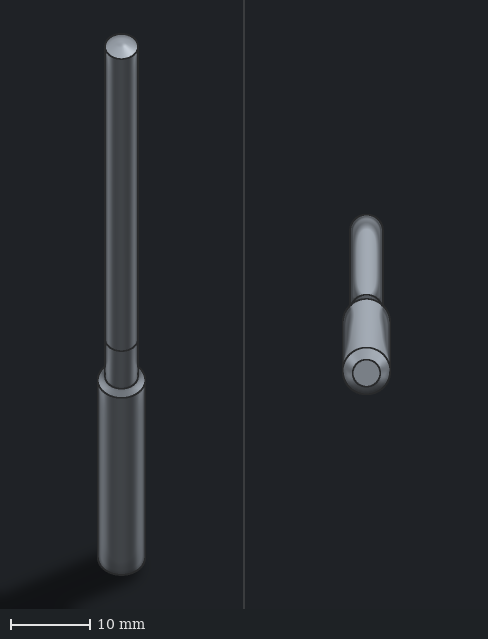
import cadquery as cq

total_length = 102.0
shank_radius = 6.0 / 2
rod_radius = 4.2 / 2

shank_length = 36.1
joint_height = 44.2
shoulder_rise = 0.7
foot_height = 1.5
foot_radius = 1.7
tip_height = 0.8

bottom_z = -total_length / 2
top_z = total_length / 2
joint_z = bottom_z + joint_height
shoulder_z = bottom_z + shank_length


def revolve_profile(points):
    """Revolve a closed outline of (radius, z) points about the Z axis."""
    return cq.Workplane("XZ").polyline(points).close().revolve(360, (0, 0), (0, 1))


def make_shank():
    """Thick shank with a conical foot, a sloping shoulder and a thinner neck."""
    return revolve_profile([
        (0, bottom_z),
        (foot_radius, bottom_z),
        (shank_radius, bottom_z + foot_height),
        (shank_radius, shoulder_z),
        (rod_radius, shoulder_z + shoulder_rise),
        (rod_radius, joint_z),
        (0, joint_z),
    ])


def make_rod():
    """Round rod that stands on the neck and ends in a shallow cone."""
    return revolve_profile([
        (0, joint_z),
        (rod_radius, joint_z),
        (rod_radius, top_z - tip_height),
        (0, top_z),
    ])


shank = make_shank()
rod = make_rod()

result = cq.Compound.makeCompound([shank.val(), rod.val()])